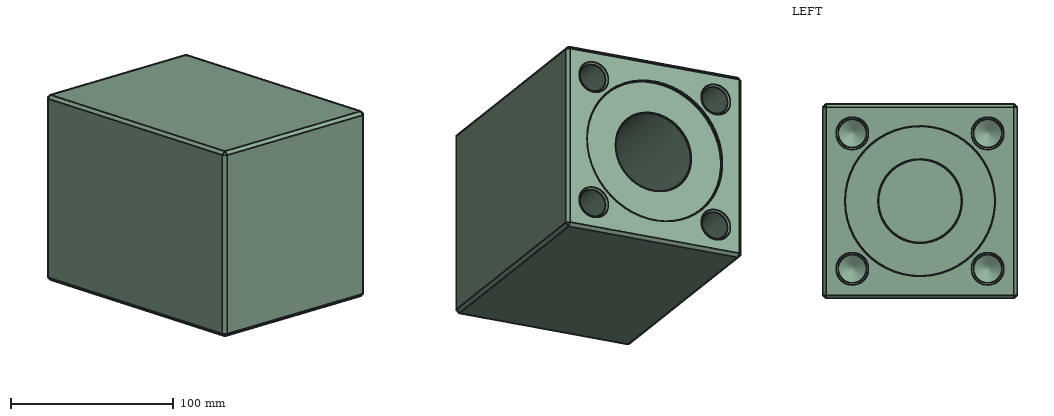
import cadquery as cq
import math

length = 160.0
width = 120.0
edge_chamfer = 2.0

recess_diameter = 92.2
recess_chamfer = 0.3
recess_depth = 2.0
bore_diameter = 51.0
bore_depth = 128.0
bore_chamfer = 0.5

bolt_spacing = 83.5
bolt_diameter = 17.5
bolt_mouth_diameter = 20.0
bolt_depth = 40.0
drill_point_angle = 118.0

front_x = -length / 2


def make_block():
    """Square block with every edge chamfered."""
    return cq.Workplane("XY").box(length, width, width).edges().chamfer(edge_chamfer)


def revolve_about_x(profile):
    """Turn a closed (x, radius) profile around the X axis."""
    return cq.Workplane("XY").polyline(profile).close().revolve(360, (0, 0, 0), (1, 0, 0))


def make_bore_cutter():
    """Shallow round recess leading into a blind bore with a broken edge."""
    recess_radius = recess_diameter / 2
    bore_radius = bore_diameter / 2
    floor_x = front_x + recess_depth
    return revolve_about_x([
        (front_x, 0),
        (front_x, recess_radius + recess_chamfer),
        (front_x + recess_chamfer, recess_radius),
        (floor_x, recess_radius),
        (floor_x, bore_radius + bore_chamfer),
        (floor_x + bore_chamfer, bore_radius),
        (front_x + bore_depth, bore_radius),
        (front_x + bore_depth, 0),
    ])


def make_bolt_cutter():
    """Countersunk blind hole with a conical drill point, on the X axis."""
    radius = bolt_diameter / 2
    mouth_radius = bolt_mouth_diameter / 2
    countersink_depth = mouth_radius - radius
    point_length = radius / math.tan(math.radians(drill_point_angle / 2))
    return revolve_about_x([
        (front_x, 0),
        (front_x, mouth_radius),
        (front_x + countersink_depth, radius),
        (front_x + bolt_depth, radius),
        (front_x + bolt_depth + point_length, 0),
    ])


result = make_block().cut(make_bore_cutter())
bolt_cutter = make_bolt_cutter()
for y_side in (-1, 1):
    for z_side in (-1, 1):
        offset = (0, y_side * bolt_spacing / 2, z_side * bolt_spacing / 2)
        result = result.cut(bolt_cutter.translate(offset))